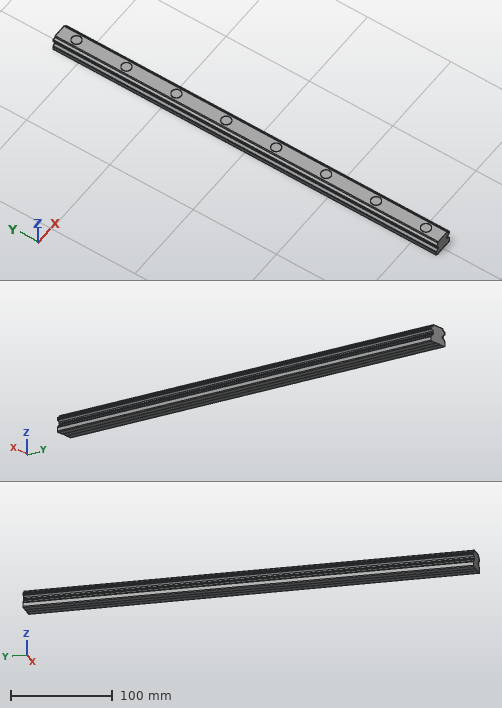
import cadquery as cq

rail_length = 460.0
rail_width = 23.0
rail_height = 18.0

top_width = 15.5
corner_run = 0.55
corner_drop = 1.6
lip_top = 14.3
lip_bottom = 13.5
raceway_radius = 2.8
lip_bevel_width = 0.3
lip_bevel_height = 1.0
waist_width = 17.5
waist_top = 11.0

notch_top = 9.5
notch_bottom = 8.5
notch_depth = 1.5

waist_foot = 8.0
base_shoulder = 5.5
shoulder_bevel_width = 0.5
shoulder_bevel_height = 1.0
base_chamfer = 1.0
relief_width = 6.5
relief_depth = 0.25

hole_count = 8
hole_diameter = 11.0
hole_depth = 0.5
end_margin = 20.2
hole_pitch = (rail_length - 2 * end_margin) / (hole_count - 1)


def rail_half():
    """Extrude the +X half of the rail section along Y."""
    side = rail_width / 2
    waist = waist_width / 2
    return (
        cq.Workplane("XZ")
        .moveTo(0, relief_depth)
        .lineTo(relief_width / 2, relief_depth)
        .lineTo(relief_width / 2, 0)
        .lineTo(side - base_chamfer, 0)
        .lineTo(side, base_chamfer)
        .lineTo(side, base_shoulder - shoulder_bevel_height)
        .lineTo(side - shoulder_bevel_width, base_shoulder)
        .lineTo(waist, waist_foot)
        .lineTo(waist, notch_bottom)
        .lineTo(waist - notch_depth, notch_bottom)
        .lineTo(waist - notch_depth, notch_top)
        .lineTo(waist, notch_top)
        .lineTo(waist, waist_top)
        .radiusArc((side - lip_bevel_width, lip_bottom - lip_bevel_height), raceway_radius)
        .lineTo(side, lip_bottom)
        .lineTo(side, lip_top)
        .lineTo(side - lip_bevel_width, lip_top + lip_bevel_height)
        .radiusArc((top_width / 2 + corner_run, rail_height - corner_drop), raceway_radius)
        .lineTo(top_width / 2, rail_height)
        .lineTo(0, rail_height)
        .close()
        .extrude(rail_length / 2, both=True)
    )


def hole_recesses():
    """Cylinders that sink the mounting-hole recesses into the top face."""
    return (
        cq.Workplane("XY")
        .workplane(offset=rail_height)
        .rarray(4.5, hole_pitch, 1, hole_count)
        .circle(hole_diameter / 2)
        .extrude(-hole_depth)
    )


half = rail_half()
rail = half.union(half.mirror("YZ"))
result = rail.cut(hole_recesses())